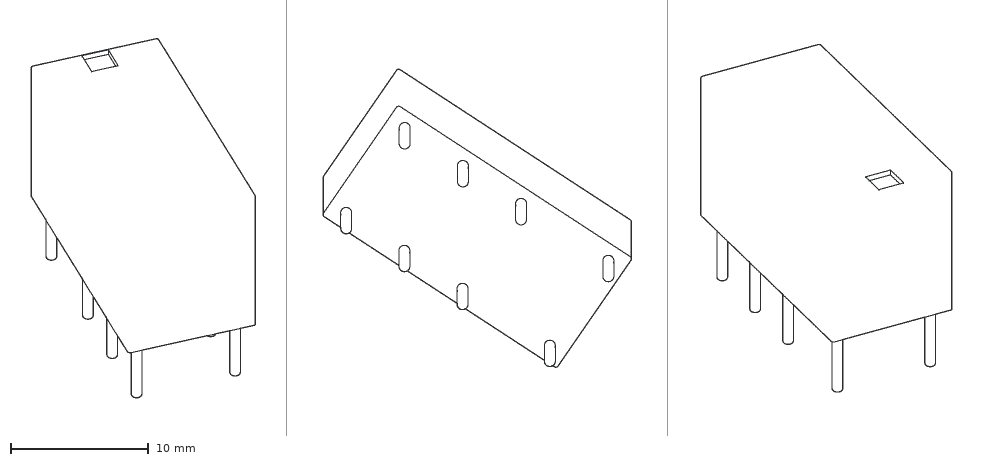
import cadquery as cq

housing_length = 20.5
housing_width = 9.9
overall_height = 16.8
pin_length = 5.08
housing_height = overall_height - pin_length
edge_radius = 0.2

mark_side = 2.05
mark_depth = 0.4

pin_diameter = 0.8
pin_tip_radius = 0.2
pin_pitch = 5.08
first_pin_gap = 1.5 * pin_pitch
row_spacing = 1.5 * pin_pitch
first_pin_x = -(first_pin_gap + 2 * pin_pitch) / 2
second_pin_x = first_pin_x + first_pin_gap
pin_columns = [first_pin_x] + [second_pin_x + i * pin_pitch for i in range(3)]
pin_rows = [-row_spacing / 2, row_spacing / 2]


def make_housing():
    """Rounded box standing on Z = 0, with a sharp bottom edge and a mark in its top."""
    block = (
        cq.Workplane("XY")
        .box(housing_length, housing_width, housing_height, centered=(True, True, False))
        .edges("|Z or >Z")
        .fillet(edge_radius)
    )
    mark_center_x = -housing_length / 2 + edge_radius + mark_side / 2
    mark = (
        cq.Workplane("XY", origin=(mark_center_x, 0, housing_height))
        .rect(mark_side, mark_side)
        .extrude(-mark_depth)
    )
    return block.cut(mark)


def make_pin(x, y):
    """Round pin hanging from the housing bottom, with a rounded tip edge."""
    return (
        cq.Workplane("XY", origin=(x, y, 0))
        .circle(pin_diameter / 2)
        .extrude(-pin_length)
        .faces("<Z")
        .edges()
        .fillet(pin_tip_radius)
    )


housing = make_housing()
pins = [make_pin(x, y) for x in pin_columns for y in pin_rows]

result = cq.Compound.makeCompound([housing.val(), *[pin.val() for pin in pins]])